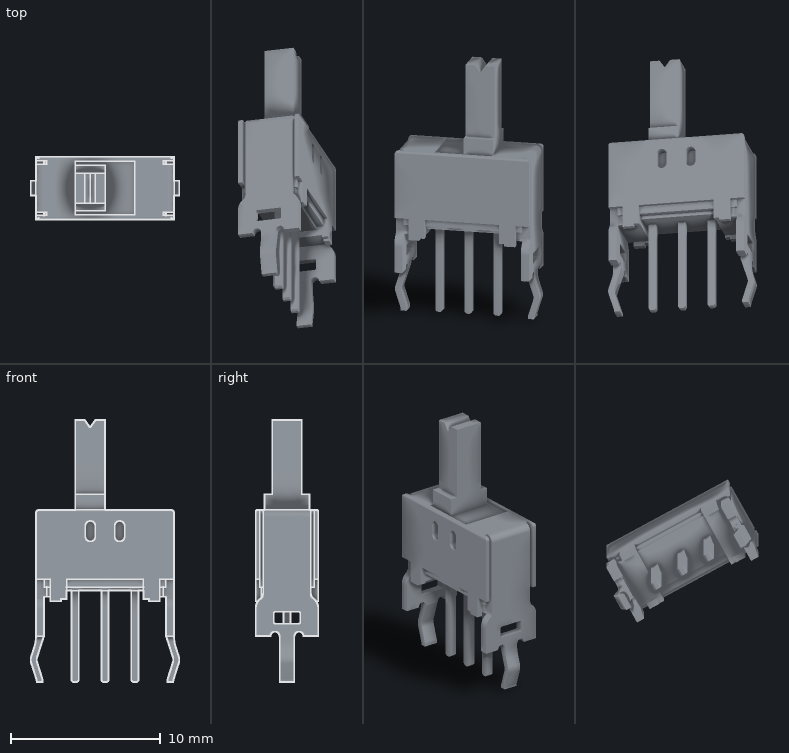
import cadquery as cq
import math


cover_length = 9.24
cover_width = 4.2
top_thickness = 0.2
side_thickness = 0.28
end_thickness = 0.74
end_plate_thickness = 0.55
end_half_width = 1.6
half_length = cover_length / 2
half_width = cover_width / 2
end_inner_x = half_length - end_thickness
plate_inner_x = half_length - end_plate_thickness
side_inner_y = half_width - side_thickness
side_bottom_z = -4.65

end_bend_radius = 0.48
side_corner_radius = 0.25
side_edge_radius = 0.15

window_length = 4.0
window_width = 3.56

detent_slot_x = 0.98
detent_slot_width = 0.66
detent_slot_height = 1.37
detent_slot_z = -1.43
detent_slot_depth = 0.75
detent_dimple_wall = 0.2

tab_inner_x = 2.56
tab_outer_x = 3.66
tab_bottom_z = -6.12
tab_notch_x = 2.92
tab_notch_z = -5.96

foot_bottom_z = -5.82
foot_front_y = -1.71
foot_back_y = end_half_width

shoulder_top_z = -5.6
shoulder_bottom_z = -6.59
shoulder_concave_share = 0.32
end_bottom_z = -8.44
end_window_width = 1.76
end_window_top_z = -6.81
end_window_bottom_z = -7.6
end_window_radius = 0.1

leg_width = 1.0
relief_radius = 0.3
leg_thickness = 0.4
leg_angle = math.radians(17.8)
leg_bend_z = -8.83
leg_overall_length = 9.93
leg_elbow_radius = 0.69
leg_inner_elbow_radius = 0.5
leg_bend_radius = 1.9
leg_inner_bend_radius = 1.0
leg_toe_radius = 0.6
leg_inner_toe_radius = 0.6
leg_bottom_z = -11.51
leg_toe_z = -11.36

slider_left_x = -window_length / 2
slider_length = 2.0
slider_base_width = 3.02
slider_stem_width = 2.0
slider_shoulder_z = 1.05
slider_top_z = 6.0
notch_width = 0.72
notch_depth = 0.5

housing_flange_x = 4.05
housing_bottom_z = -5.17

base_front_y = -1.35
base_back_y = end_half_width
base_bottom_z = -5.39
pin_pitch = 2.0
pin_size = 0.5
pin_bottom_z = -11.5
pin_chamfer = 0.12


def box(x_range, y_range, z_range):
    """Axis-aligned block given by its (low, high) limits on each axis."""
    size = [high - low for low, high in (x_range, y_range, z_range)]
    corner = (x_range[0], y_range[0], z_range[0])
    return cq.Workplane("XY").box(*size, centered=False).translate(corner)


def centered_box(length, width, z_range):
    return box((-length / 2, length / 2), (-width / 2, width / 2), z_range)


def both_ends(right_half):
    return right_half.union(right_half.mirror("YZ"))


def detent_slots(margin=0):
    """Upright obround blocks reaching in from the front face, grown by margin at the sides and tip."""
    return (
        cq.Workplane("XZ", origin=(0, -half_width, detent_slot_z))
        .pushPoints([(-detent_slot_x, 0), (detent_slot_x, 0)])
        .slot2D(detent_slot_height + 2 * margin, detent_slot_width + 2 * margin, 90)
        .extrude(-detent_slot_depth - margin)
    )


def front_wall():
    """Front side wall with its rounded top."""
    wall = box((-half_length, half_length), (-half_width, -side_inner_y), (side_bottom_z, 0))
    rounded_corners = wall.edges("|Y and >Z").fillet(side_corner_radius)
    rounded_edge = wall.edges("<Y and >Z").fillet(side_edge_radius)
    return rounded_corners.intersect(rounded_edge)


def tabs(depth):
    """Pair of crimping tabs on the front wall, thickened to depth below the housing."""
    outline = (
        cq.Workplane("XZ", origin=(0, depth - half_width, 0))
        .moveTo(tab_inner_x, side_bottom_z)
        .lineTo(tab_inner_x, tab_notch_z)
        .lineTo(tab_notch_x, tab_notch_z)
        .lineTo(tab_notch_x, tab_bottom_z)
        .lineTo(tab_outer_x, tab_bottom_z)
        .lineTo(tab_outer_x, side_bottom_z)
        .close()
        .extrude(depth)
    )
    housing_room = box(
        (tab_inner_x, tab_outer_x),
        (-side_inner_y, depth - half_width),
        (housing_bottom_z, side_bottom_z),
    )
    return both_ends(outline.cut(housing_room))


def end_plate():
    """Right end wall: thick beside the housing, then a thinner, wider plate with a window and leg reliefs."""
    shoulder_y = end_half_width + shoulder_concave_share * (half_width - end_half_width)
    shoulder_z = shoulder_top_z + shoulder_concave_share * (shoulder_bottom_z - shoulder_top_z)
    half_plate = (
        cq.Workplane("YZ", origin=(end_inner_x, 0, 0))
        .lineTo(end_half_width, 0)
        .lineTo(end_half_width, shoulder_top_z)
        .tangentArcPoint((shoulder_y, shoulder_z), relative=False)
        .tangentArcPoint((half_width, shoulder_bottom_z), relative=False)
        .lineTo(half_width, end_bottom_z)
        .lineTo(0, end_bottom_z)
        .close()
        .extrude(end_thickness)
    )
    plate = half_plate.union(half_plate.mirror("XZ"))
    below_ledge = box((end_inner_x, plate_inner_x), (-half_width, half_width), (end_bottom_z, foot_bottom_z))
    plate_x = (plate_inner_x, half_length)
    window_y = (-end_window_width / 2, end_window_width / 2)
    window = box(plate_x, window_y, (end_window_bottom_z, end_window_top_z))
    window = window.edges("|X").fillet(end_window_radius)
    relief_y = leg_width / 2 + relief_radius
    reliefs = (
        cq.Workplane("YZ", origin=(plate_x[0], 0, end_bottom_z))
        .pushPoints([(-relief_y, 0), (relief_y, 0)])
        .circle(relief_radius)
        .extrude(end_plate_thickness)
    )
    return plate.cut(below_ledge).cut(window).cut(reliefs)


def leg():
    """Right snap-in leg: a strip bowed outwards to an elbow and back to its toe."""
    slope = math.tan(leg_angle)
    sharp_elbow_x = leg_overall_length / 2 + leg_elbow_radius * (1 / math.cos(leg_angle) - 1)
    elbow_z = leg_bend_z - (sharp_elbow_x - half_length) / slope
    toe_x = sharp_elbow_x - (elbow_z - leg_toe_z) * slope
    inner_elbow_x = sharp_elbow_x - leg_thickness / math.cos(leg_angle)
    inner_bend_z = elbow_z + (inner_elbow_x - plate_inner_x) / slope
    inner_toe_x = toe_x - leg_thickness
    inner_toe_z = elbow_z - (inner_elbow_x - inner_toe_x) / slope
    strip = (
        cq.Workplane("XZ", origin=(0, leg_width / 2, 0))
        .moveTo(half_length, end_bottom_z + relief_radius)
        .lineTo(half_length, leg_bend_z)
        .lineTo(sharp_elbow_x, elbow_z)
        .lineTo(toe_x, leg_toe_z)
        .lineTo(toe_x, leg_bottom_z)
        .lineTo(inner_toe_x, leg_bottom_z)
        .lineTo(inner_toe_x, inner_toe_z)
        .lineTo(inner_elbow_x, elbow_z)
        .lineTo(plate_inner_x, inner_bend_z)
        .lineTo(plate_inner_x, end_bottom_z + relief_radius)
        .close()
        .extrude(leg_width)
    )
    rounded_corners = [
        (half_length, leg_bend_z, leg_bend_radius),
        (sharp_elbow_x, elbow_z, leg_elbow_radius),
        (toe_x, leg_toe_z, leg_toe_radius),
        (inner_toe_x, inner_toe_z, leg_inner_toe_radius),
        (plate_inner_x, inner_bend_z, leg_inner_bend_radius),
        (inner_elbow_x, elbow_z, leg_inner_elbow_radius),
    ]
    for x, z, radius in rounded_corners:
        strip = strip.edges(cq.selectors.NearestToPointSelector((x, 0, z))).fillet(radius)
    return strip


def feet():
    foot_y = (foot_front_y, foot_back_y)
    return both_ends(box((tab_inner_x, end_inner_x), foot_y, (foot_bottom_z, housing_bottom_z)))


def top_and_ends():
    """Top plate bent down into the end walls, slotted at its corners beside the side walls."""
    top_z = (-top_thickness, 0)
    ends = centered_box(cover_length, 2 * end_half_width, top_z).union(both_ends(end_plate()))
    ends = ends.edges("|Y and >Z").fillet(end_bend_radius)
    return ends.union(centered_box(2 * end_inner_x, 2 * side_inner_y, top_z))


def make_cover():
    front = front_wall()
    front_tabs = tabs(half_width + foot_front_y)
    back_tabs = tabs(half_width - foot_back_y).mirror("XZ")
    cover = top_and_ends().union(front).union(front.mirror("XZ"))
    cover = cover.union(front_tabs).union(back_tabs).union(feet()).union(both_ends(leg()))
    cover = cover.union(detent_slots(detent_dimple_wall))
    window = centered_box(window_length, window_width, (-top_thickness, 0))
    return cover.cut(window).cut(detent_slots())


def make_housing():
    """Block inside the cover, with corner flanges that fill the inner part of the cover's slots."""
    housing_z = (housing_bottom_z, -top_thickness)
    housing_width = 2 * side_inner_y
    block = centered_box(2 * end_inner_x, housing_width, housing_z)
    for side_y in ((-side_inner_y, -end_half_width), (end_half_width, side_inner_y)):
        flange = box((end_inner_x, housing_flange_x), side_y, (housing_bottom_z, 0))
        block = block.union(both_ends(flange))
    return block.cut(detent_slots(detent_dimple_wall))


def make_slider():
    slider_x = (slider_left_x, slider_left_x + slider_length)
    base_y = (-slider_base_width / 2, slider_base_width / 2)
    stem_y = (-slider_stem_width / 2, slider_stem_width / 2)
    base = box(slider_x, base_y, (-top_thickness, slider_shoulder_z))
    stem = box(slider_x, stem_y, (slider_shoulder_z, slider_top_z))
    notch_x = slider_left_x + slider_length / 2
    notch = (
        cq.Workplane("XZ", origin=(notch_x, stem_y[1], slider_top_z))
        .moveTo(-notch_width / 2, 0)
        .lineTo(0, -notch_depth)
        .lineTo(notch_width / 2, 0)
        .close()
        .extrude(slider_stem_width)
    )
    return base.union(stem).cut(notch)


def make_terminal_base():
    """Plate under the housing, between the feet of the cover, with three pins."""
    base_y = (base_front_y, base_back_y)
    base = box((-tab_inner_x, tab_inner_x), base_y, (base_bottom_z, housing_bottom_z))
    pin = centered_box(pin_size, pin_size, (pin_bottom_z, base_bottom_z))
    pin = pin.faces("<Z").edges("|Y").chamfer(pin_chamfer)
    for pin_index in (-1, 0, 1):
        base = base.union(pin.translate((pin_index * pin_pitch, 0, 0)))
    return base


cover = make_cover()
housing = make_housing()
slider = make_slider()
terminal_base = make_terminal_base()

result = cq.Compound.makeCompound([cover.val(), housing.val(), slider.val(), terminal_base.val()])